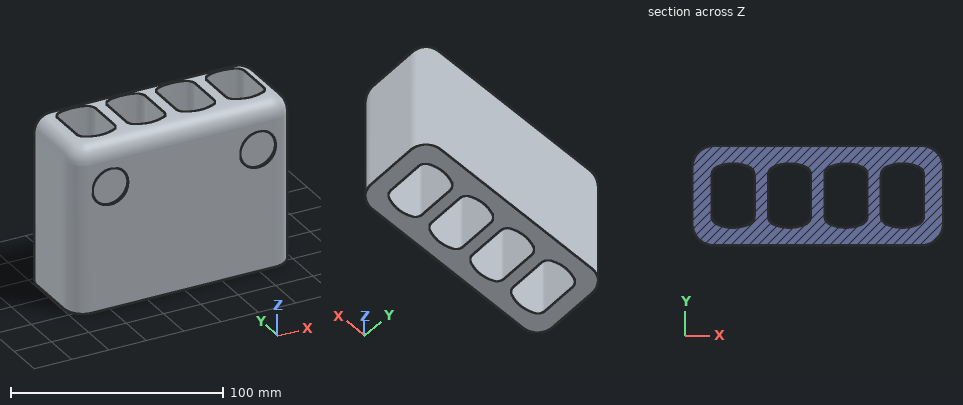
import cadquery as cq

length = 118.3
width = 47.0
height = 89.0
edge_radius = 10.0

slot_count = 4
slot_pitch = 26.6
slot_width = 20.2
slot_length = 30.2
slot_end_rise = 3.1
slot_corner_radius = 4.5

recess_diameter = 19.0
recess_depth = 1.0
recess_spacing = 79.0
recess_height = 65.0


def make_block():
    """Block standing on Z = 0 with rounded upright and top edges."""
    block = cq.Workplane("XY").box(length, width, height, centered=(True, True, False))
    return block.edges("|Z or >Z").fillet(edge_radius)


def make_slot(center_x):
    """Through slot with straight sides and arc ends."""
    half_width = slot_width / 2
    half_length = slot_length / 2
    shoulder = half_length - slot_end_rise
    outline = (
        cq.Workplane("XY")
        .moveTo(-half_width, -shoulder)
        .threePointArc((0, -half_length), (half_width, -shoulder))
        .lineTo(half_width, shoulder)
        .threePointArc((0, half_length), (-half_width, shoulder))
        .close()
    )
    slot = outline.extrude(height).edges("|Z").fillet(slot_corner_radius)
    return slot.translate((center_x, 0, 0))


def make_recess(center_x):
    """Shallow disc cut into the -Y face."""
    disc = cq.Workplane("XZ").circle(recess_diameter / 2).extrude(-recess_depth)
    return disc.translate((center_x, -width / 2, recess_height))


result = make_block()

for index in range(slot_count):
    slot_x = (index - (slot_count - 1) / 2) * slot_pitch
    result = result.cut(make_slot(slot_x))

for side in (-1, 1):
    result = result.cut(make_recess(side * recess_spacing / 2))